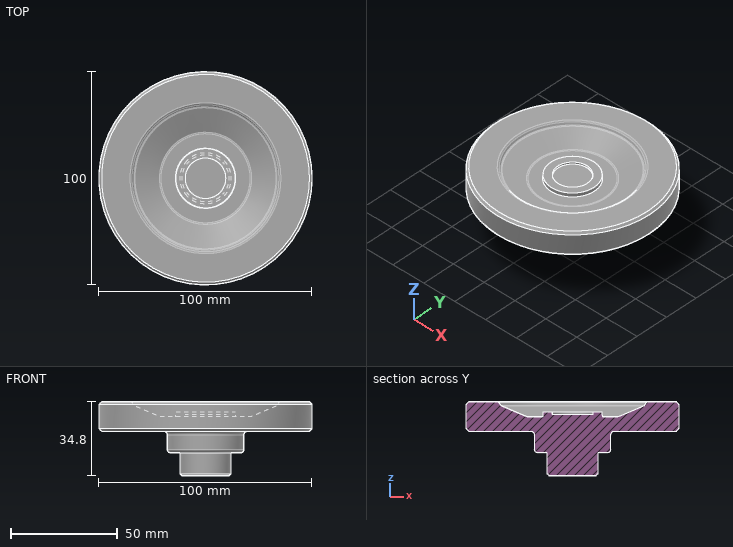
import cadquery as cq

disc_radius = 50.0
disc_thickness = 14.0
disc_chamfer = 1.3

hub_radius = 18.0
hub_height = 10.0
hub_round = 1.6

pin_radius = 12.0
total_height = 34.8
pin_chamfer = 1.0

mouth_radius = 35.4
mouth_round = 1.2
mouth_round_width = 1.0
mouth_round_depth = 0.5
lip_foot_radius = 33.6
lip_depth = 1.7
lip_foot_round = 0.8
side_top_radius = 33.1
side_top_depth = 2.0
floor_edge_radius = 21.6
floor_radius = 20.9
floor_edge_rise = 0.1
floor_depth = 7.0

pad_radius = 13.9
pad_foot_radius = 14.1
pad_height = 2.2
recess_radius = 9.5
recess_depth = 1.2


def cylinder(radius, top, height):
    """Cylinder on the Z axis that hangs down from the given height."""
    return cq.Workplane("XY").workplane(offset=top).circle(radius).extrude(-height)


def bowl_cutter():
    """Solid of revolution that fills the bowl down to its floor."""
    lip_radius = mouth_radius - mouth_round_width
    edge_height = floor_edge_rise - floor_depth
    profile = (
        cq.Workplane("XZ")
        .lineTo(mouth_radius, 0)
        .radiusArc((lip_radius, -mouth_round_depth), -mouth_round)
        .lineTo(lip_foot_radius, -lip_depth)
        .radiusArc((side_top_radius, -side_top_depth), lip_foot_round)
        .lineTo(floor_edge_radius, edge_height)
        .lineTo(floor_radius, -floor_depth)
        .lineTo(0, -floor_depth)
        .close()
    )
    return profile.revolve(360, (0, 0, 0), (0, 1, 0))


disc = cylinder(disc_radius, 0, disc_thickness).edges().chamfer(disc_chamfer)

hub = cylinder(hub_radius, -disc_thickness, hub_height).faces("<Z").edges().fillet(hub_round)
body = disc.union(hub)
root_reach = hub_radius + hub_round
hub_root = cq.selectors.BoxSelector(
    (-root_reach, -root_reach, -disc_thickness - disc_chamfer / 2),
    (root_reach, root_reach, -disc_thickness + disc_chamfer / 2),
    boundingbox=True,
)
body = body.edges(hub_root).fillet(hub_round)

hub_bottom = -disc_thickness - hub_height
pin = cylinder(pin_radius, hub_bottom, total_height + hub_bottom)
body = body.union(pin.faces("<Z").edges().chamfer(pin_chamfer))

pad_top = pad_height - floor_depth
body = body.cut(bowl_cutter())
pad = cq.Workplane(
    cq.Solid.makeCone(pad_foot_radius, pad_radius, pad_height, cq.Vector(0, 0, -floor_depth))
)
body = body.union(pad)
result = body.cut(cylinder(recess_radius, pad_top, recess_depth))